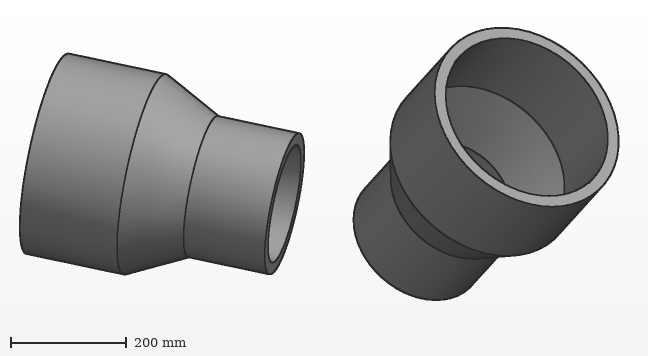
import math

import cadquery as cq

total_length = 426.0
large_length = 175.0
cone_length = 105.0
large_outer_diameter = 355.0
large_inner_diameter = 312.5
small_outer_diameter = 250.0

wall = (large_outer_diameter - large_inner_diameter) / 2
small_inner_diameter = small_outer_diameter - 2 * wall

cone_half_angle = math.atan2((large_outer_diameter - small_outer_diameter) / 2, cone_length)
bore_cone_shift = wall * math.tan(cone_half_angle / 2)


def reducer_solid(large_diameter, small_diameter, cone_start):
    """Solid with a large cylinder, a cone and a small cylinder along +X."""
    large_radius = large_diameter / 2
    small_radius = small_diameter / 2
    cone_end = cone_start + cone_length
    half_profile = [
        (0, 0),
        (0, large_radius),
        (cone_start, large_radius),
        (cone_end, small_radius),
        (total_length, small_radius),
        (total_length, 0),
    ]
    return cq.Workplane("XY").polyline(half_profile).close().revolve(360, (0, 0, 0), (1, 0, 0))


body = reducer_solid(large_outer_diameter, small_outer_diameter, large_length)
bore = reducer_solid(large_inner_diameter, small_inner_diameter, large_length - bore_cone_shift)
result = body.cut(bore)